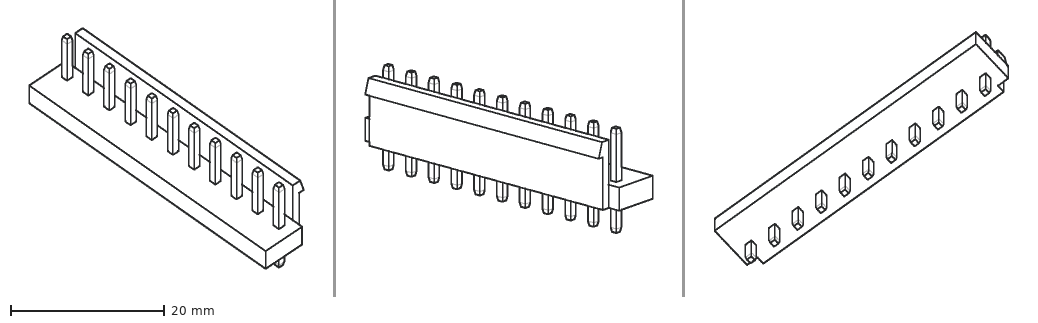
import cadquery as cq

base_length = 44.2
base_depth = 6.67
base_height = 3.2

wall_length = 40.65
wall_thickness = 1.2
wall_height = 9.35
hook_reach = 0.85
hook_height = 2.1
hook_top_thickness = 1.35

pin_count = 11
pin_row_length = 39.6
pin_pitch = pin_row_length / (pin_count - 1)
pin_width = 1.0
pin_to_wall = 2.0
pin_above_base = 7.25
pin_below_base = 3.9
tip_height = 0.65
tip_inset = 0.15

base_back = pin_to_wall
base_front = base_back - base_depth


def make_base():
    bar = cq.Workplane("XY").box(base_length, base_depth, base_height, centered=(True, False, False))
    return bar.translate((0, base_front, 0))


def make_locking_wall():
    wall_back = base_back + wall_thickness
    hook_bottom = wall_height - hook_height
    profile = [
        (base_back, 0),
        (wall_back, 0),
        (wall_back, hook_bottom),
        (wall_back + hook_reach, hook_bottom),
        (base_back + hook_top_thickness, wall_height),
        (base_back, wall_height),
    ]
    return cq.Workplane("YZ").polyline(profile).close().extrude(wall_length / 2, both=True)


def make_pin():
    shank_length = pin_below_base + base_height + pin_above_base - 2 * tip_height
    tip_width = pin_width - 2 * tip_inset
    shank_bottom = tip_height - pin_below_base
    shank_top = shank_bottom + shank_length
    shank = cq.Workplane("XY", origin=(0, 0, shank_bottom)).rect(pin_width, pin_width).extrude(shank_length)
    upper_tip = make_tip(shank_top, tip_height, tip_width)
    lower_tip = make_tip(shank_bottom, -tip_height, tip_width)
    return shank.union(upper_tip).union(lower_tip)


def make_tip(start_height, rise, tip_width):
    """Square frustum narrowing from the pin shank; a negative rise points down."""
    wide_end = cq.Workplane("XY", origin=(0, 0, start_height)).rect(pin_width, pin_width)
    return wide_end.workplane(offset=rise).rect(tip_width, tip_width).loft(combine=True)


result = make_base().union(make_locking_wall())
pin = make_pin()
for index in range(pin_count):
    pin_x = index * pin_pitch - pin_row_length / 2
    result = result.union(pin.translate((pin_x, 0, 0)))